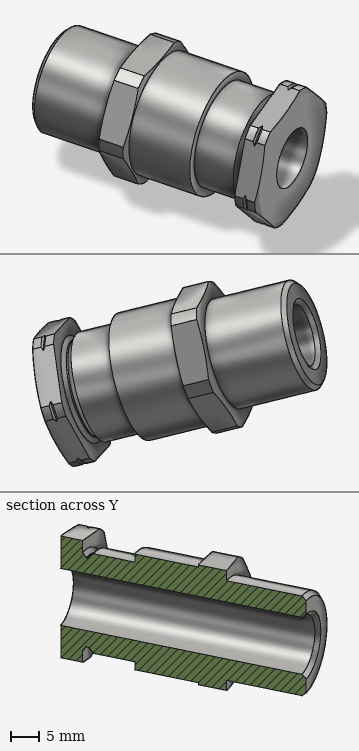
import cadquery as cq
import math

total_length = 47.2
collar_start = 15.3
collar_width = 5.45
sleeve_end = 33.0
neck_end = 41.95
neck_chamfer = 1.1
undercut_end = 42.25
cap_start = 42.9

thread_diameter = 20.0
sleeve_diameter = 23.2
bore_diameter = 11.3
cap_root_diameter = 19.65

thread_chamfer = 0.8
bore_chamfer = 0.8

across_flats = 24.02
corner_diameter = 26.4
hex_chamfer_length = 0.3
cap_rotation = 10.0

groove_x = 44.95
groove_half_width = 0.4
groove_depth = 0.3


def revolve_about_x(points):
    """Revolve a closed (x, radius) outline about the X axis."""
    return cq.Workplane("XY").polyline(points).close().revolve(360, (0, 0, 0), (1, 0, 0))


def rounded_hexagon(start, end, rotation, chamfer_start):
    """Hexagon along X with turned corners, a chamfered far end and an optional chamfered near end."""
    flat_radius = across_flats / 2
    corner_radius = corner_diameter / 2
    full_diameter = across_flats / math.cos(math.radians(30))
    prism = (
        cq.Workplane("YZ")
        .polygon(6, full_diameter)
        .extrude(end - start)
        .rotate((0, 0, 0), (1, 0, 0), rotation)
        .translate((start, 0, 0))
    )
    outline = [(start, 0)]
    if chamfer_start:
        outline += [(start, flat_radius), (start + hex_chamfer_length, corner_radius)]
    else:
        outline += [(start, corner_radius)]
    outline += [(end - hex_chamfer_length, corner_radius), (end, flat_radius), (end, 0)]
    return prism.intersect(revolve_about_x(outline))


thread_radius = thread_diameter / 2
sleeve_radius = sleeve_diameter / 2
neck_tip_radius = thread_radius - neck_chamfer
body = revolve_about_x([
    (0, 0),
    (0, thread_radius - thread_chamfer),
    (thread_chamfer, thread_radius),
    (collar_start, thread_radius),
    (collar_start, sleeve_radius),
    (sleeve_end, sleeve_radius),
    (sleeve_end, thread_radius),
    (neck_end - neck_chamfer, thread_radius),
    (neck_end, neck_tip_radius),
    (undercut_end, neck_tip_radius),
    (cap_start, cap_root_diameter / 2),
    (cap_start, 0),
])

collar = rounded_hexagon(collar_start, collar_start + collar_width, 0, True)
cap = rounded_hexagon(cap_start, total_length, cap_rotation, False)

groove_bottom_radius = corner_diameter / 2 - groove_depth
cutter_height = 2 * groove_depth
cutter_half_width = 2 * groove_half_width
corner_groove = revolve_about_x([
    (groove_x, groove_bottom_radius),
    (groove_x - cutter_half_width, groove_bottom_radius + cutter_height),
    (groove_x + cutter_half_width, groove_bottom_radius + cutter_height),
])
cap = cap.cut(corner_groove)

bore_radius = bore_diameter / 2
bore = revolve_about_x([
    (0, 0),
    (0, bore_radius + bore_chamfer),
    (bore_chamfer, bore_radius),
    (total_length, bore_radius),
    (total_length, 0),
])

result = body.union(collar).union(cap).cut(bore)